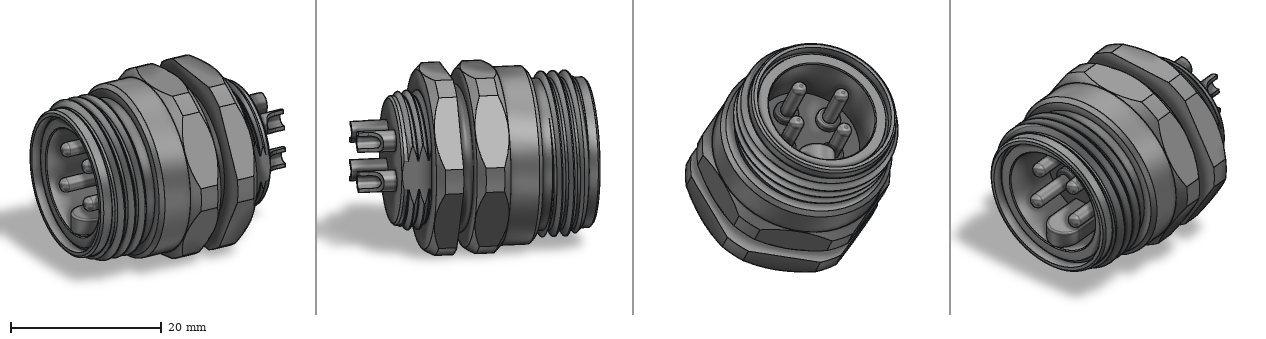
import cadquery as cq
import math

overall_length = 31.5
overlap = 0.2
thread_overlap = 0.05

mating_radius = 10.05
mating_length = 1.55
mating_edge = 0.3
front_root_radius = 10.15
front_crest_radius = 11.05
front_thread_pitch = 25.4 / 16
front_thread_end = 6.5
front_crest_width = 0.16
front_flank_angle = 30.0
front_crest_offset = 2.55

collar_start = 8.0
collar_radius = 11.9
collar_edge = 0.57
flange_start = 12.45
flange_end = 17.04
hex_across_flats = 24.0
hex_corner_radius = 13.0
hex_edge = 1.04

ring_section_radius = 1.0
ring_outer_radius = mating_radius
nut_start = flange_end + 2 * ring_section_radius
nut_length = 3.5

body_end = 26.57
neck_root_radius = 8.64
neck_edge = 0.3
neck_across_flats = 16.83
neck_crest_radius = 9.3
neck_thread_pitch = 25.4 / 18
neck_thread_end = 25.8
neck_crest_width = 0.16
neck_crest_offset = 23.95
neck_flank_angle = 40.0

mouth_radius = 9.28
mouth_depth = 1.4
lip_radius = 8.87
lip_depth = 1.1
bore_radius = 7.38
bore_edge = 0.15
socket_depth = 8.55

contact_positions = [(-2.91, 3.48), (2.91, 3.48), (-3.3, -1.9), (3.3, -1.9)]
upper_cup_turn = 8.0
pin_radius = 0.98
pin_tip = 1.1
pin_tip_flat_radius = 0.2
pin_collar_radius = 1.65
pin_collar_edge = 0.35
pin_collar_height = 1.0
cup_radius = 1.42
cup_bore_radius = 0.9
cup_bore_start = 28.25
cup_cut_offset = 0.2
cup_cut_start = 30.14
cup_cut_arc_radius = 2.0

key_tip = 1.2
key_width = 4.88
key_top = -4.9
key_edge = 0.28


def turned(outline):
    """Solid of revolution about Y from an outline of (radius, y) points."""
    return cq.Workplane("XY").polyline(outline).close().revolve(360, (0, 0, 0), (0, 1, 0))


def along_y(start):
    """Workplane at Y = start facing +Y, with X to the left and Z up."""
    return cq.Workplane(cq.Plane((0, start, 0), (-1, 0, 0), (0, 1, 0)))


def rod(x, z, radius, start, end):
    return along_y(start).center(-x, z).circle(radius).extrude(end - start)


def thread(root, crest, pitch, crest_width, flank_angle, crest_y, start, end, rear_free):
    """Right-handed ridge between start and end, bevelled at 45 degrees at its free end."""
    inner = root - thread_overlap
    half_crest = crest_width / 2
    half_base = half_crest + (crest - inner) * math.tan(math.radians(flank_angle))
    turns_before = math.ceil((crest_y - start) / pitch) + 1
    turns_after = math.ceil((end - crest_y) / pitch) + 1
    first_y = crest_y - turns_before * pitch
    path = cq.Wire.makeHelix(pitch, (turns_before + turns_after) * pitch, inner)
    ridge = (
        cq.Workplane("XZ")
        .polyline([
            (inner, -half_base),
            (crest, -half_crest),
            (crest, half_crest),
            (inner, half_base),
        ])
        .close()
        .sweep(cq.Workplane(path), isFrenet=True)
        .rotate((0, 0, 0), (1, 0, 0), -90)
        .rotate((0, 0, 0), (0, 1, 0), -90)
        .translate((0, first_y, 0))
    )
    outer = crest + thread_overlap
    bevel = outer - root
    rim = [(root, start), (outer, start + bevel), (outer, end)]
    if rear_free:
        rim = [(outer, start), (outer, end - bevel), (root, end)]
    bottom = inner - thread_overlap
    limit = [(bottom, start)] + rim + [(bottom, end)]
    return ridge.intersect(turned(limit))


def hexagon(start, length, bevel_front):
    """Hexagonal prism along Y with cone-bevelled rims and rounded-off corners."""
    across_corners = hex_across_flats / math.cos(math.radians(30))
    prism = along_y(start).polygon(6, across_corners).extrude(length)
    end = start + length
    rim = hex_corner_radius - hex_edge
    front = [(rim, start), (hex_corner_radius, start + hex_edge)]
    if not bevel_front:
        front = [(hex_corner_radius, start)]
    blank = [(0, start)] + front + [(hex_corner_radius, end - hex_edge), (rim, end), (0, end)]
    return prism.intersect(turned(blank))


def front_body():
    shell = turned([
        (0, 0),
        (mating_radius - mating_edge, 0),
        (mating_radius, mating_edge),
        (mating_radius, mating_length),
        (front_root_radius, mating_length),
        (front_root_radius, collar_start),
        (collar_radius - collar_edge, collar_start),
        (collar_radius, collar_start + collar_edge),
        (collar_radius, flange_start + overlap),
        (0, flange_start + overlap),
    ])
    ridge = thread(
        front_root_radius, front_crest_radius, front_thread_pitch, front_crest_width,
        front_flank_angle, front_crest_offset, mating_length, front_thread_end, rear_free=False,
    )
    return shell.union(ridge)


def neck():
    core = turned([
        (0, flange_end - overlap),
        (neck_root_radius, flange_end - overlap),
        (neck_root_radius, body_end - neck_edge),
        (neck_root_radius - neck_edge, body_end),
        (0, body_end),
    ])
    ridge = thread(
        neck_root_radius, neck_crest_radius, neck_thread_pitch, neck_crest_width,
        neck_flank_angle, neck_crest_offset, nut_start + overlap, neck_thread_end, rear_free=True,
    )
    slab_height = 2 * (neck_crest_radius + overlap)
    flats = cq.Workplane("XY").box(neck_across_flats, 2 * overall_length, slab_height)
    return core.union(ridge).intersect(flats)


def sealing_ring():
    centre_radius = ring_outer_radius - ring_section_radius
    centre_y = flange_end + ring_section_radius
    section_plane = cq.Plane((centre_radius, centre_y, 0), (-1, 0, 0), (0, 0, 1))
    return (
        cq.Workplane(section_plane)
        .circle(ring_section_radius)
        .revolve(360, (centre_radius, 0, 0), (centre_radius, 1, 0))
    )


def socket():
    return turned([
        (0, 0),
        (mouth_radius, 0),
        (mouth_radius, mouth_depth),
        (lip_radius, mouth_depth),
        (lip_radius, lip_depth),
        (bore_radius + bore_edge, lip_depth),
        (bore_radius, lip_depth + bore_edge),
        (bore_radius, socket_depth),
        (0, socket_depth),
    ])


def coding_key():
    half_width = key_width / 2
    height = key_top + bore_radius + overlap
    block = (
        cq.Workplane("XY", origin=(0, 0, key_top - height))
        .moveTo(-half_width, socket_depth + overlap)
        .lineTo(-half_width, key_tip + half_width)
        .threePointArc((0, key_tip), (half_width, key_tip + half_width))
        .lineTo(half_width, socket_depth + overlap)
        .close()
        .extrude(height)
        .faces(">Z")
        .edges("not >Y")
        .fillet(key_edge)
    )
    return block.intersect(rod(0, 0, bore_radius + overlap / 2, 0, overall_length))


def contact_pin(x, z):
    collar = rod(x, z, pin_collar_radius, socket_depth - pin_collar_height, socket_depth + overlap)
    collar = collar.faces("<Y").edges().fillet(pin_collar_edge)
    pin = rod(x, z, pin_radius, pin_tip, socket_depth + overlap)
    pin = pin.faces("<Y").edges().fillet(pin_radius - pin_tip_flat_radius)
    return pin.union(collar)


def solder_cup(x, z):
    """Hollow rear end of a contact, cut open toward the outside; the upper cups are turned."""
    outward = math.copysign(1, x)
    cup = rod(x, z, cup_radius, body_end - overlap, overall_length)
    cup = cup.cut(rod(x, z, cup_bore_radius, cup_bore_start, overall_length))
    cut_x = x + outward * cup_cut_offset
    arc_x = cut_x + outward * cup_cut_arc_radius
    diagonal = cup_cut_arc_radius * math.sqrt(0.5)
    opening = (
        cq.Workplane("XY", origin=(0, 0, z - cup_radius))
        .moveTo(cut_x, overall_length)
        .lineTo(cut_x, cup_cut_start)
        .threePointArc(
            (arc_x - outward * diagonal, cup_cut_start - diagonal),
            (arc_x, cup_cut_start - cup_cut_arc_radius),
        )
        .lineTo(arc_x, overall_length)
        .close()
        .extrude(2 * cup_radius)
    )
    turn = upper_cup_turn if z > 0 else 0
    return cup.cut(opening.rotate((x, 0, z), (x, 1, z), -turn))


result = front_body().union(hexagon(flange_start, flange_end - flange_start, bevel_front=True))
result = result.union(neck()).union(sealing_ring())
result = result.union(hexagon(nut_start, nut_length, bevel_front=False))
result = result.cut(socket()).union(coding_key())
for contact_x, contact_z in contact_positions:
    result = result.union(contact_pin(contact_x, contact_z))
    result = result.union(solder_cup(contact_x, contact_z))